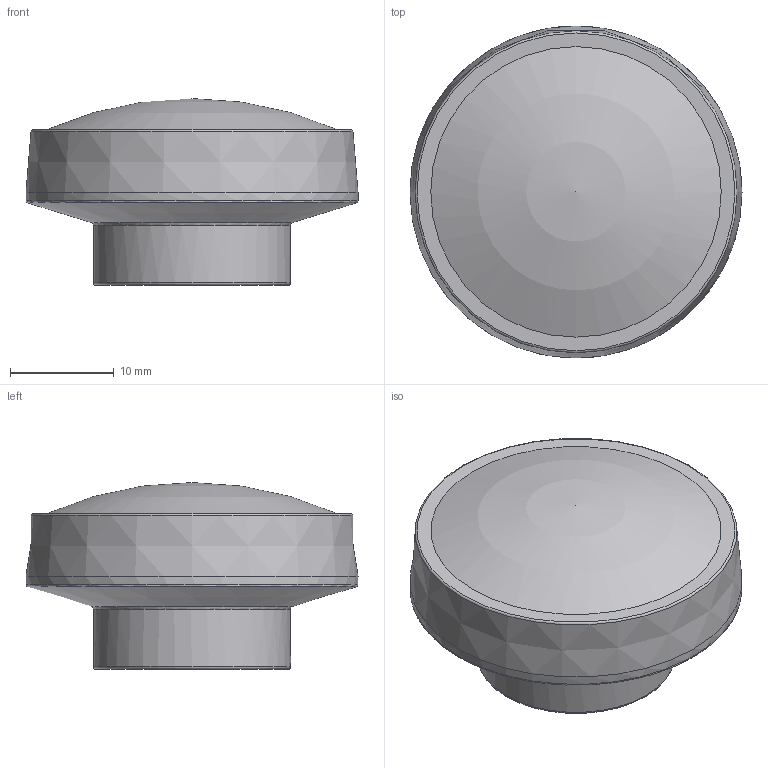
import math

import cadquery as cq

hub_diameter = 19.0
hub_height = 6.0
hub_edge_fillet = 0.25

head_diameter = 32.0
underside_rise = 2.0
rim_height = 1.0
rim_edge_fillet = 0.2
grip_height = 6.0
head_top_diameter = 31.0
head_top_fillet = 0.2

dome_diameter = 28.0
dome_height = 3.0

hub_radius = hub_diameter / 2
head_radius = head_diameter / 2
head_top_radius = head_top_diameter / 2
dome_radius = dome_diameter / 2

rim_bottom_z = hub_height + underside_rise
rim_top_z = rim_bottom_z + rim_height
head_top_z = rim_top_z + grip_height
dome_top_z = head_top_z + dome_height

sphere_radius = (dome_radius**2 + dome_height**2) / (2 * dome_height)
sphere_center_z = dome_top_z - sphere_radius
dome_mid_radius = dome_radius / 2
dome_mid_z = sphere_center_z + math.sqrt(sphere_radius**2 - dome_mid_radius**2)


def revolved_knob():
    """Revolve the half section (radius, z) about the Z axis."""
    half_section = (
        cq.Workplane("XZ")
        .moveTo(0, 0)
        .lineTo(hub_radius, 0)
        .lineTo(hub_radius, hub_height)
        .lineTo(head_radius, rim_bottom_z)
        .lineTo(head_radius, rim_top_z)
        .lineTo(head_top_radius, head_top_z)
        .lineTo(dome_radius, head_top_z)
        .threePointArc((dome_mid_radius, dome_mid_z), (0, dome_top_z))
        .close()
    )
    return half_section.revolve(360, (0, 0, 0), (0, 1, 0))


def fillet_ring(body, radius, z, fillet_radius):
    """Round the circular edge of the given radius at height z."""
    margin = 0.01
    reach = radius + margin
    edges_at_height = cq.selectors.BoxSelector(
        (-reach, -reach, z - margin),
        (reach, reach, z + margin),
        boundingbox=True,
    )
    largest_circle = cq.selectors.RadiusNthSelector(-1)
    return body.edges(edges_at_height).edges(largest_circle).fillet(fillet_radius)


result = revolved_knob()
result = fillet_ring(result, hub_radius, 0, hub_edge_fillet)
result = fillet_ring(result, hub_radius, hub_height, hub_edge_fillet)
result = fillet_ring(result, head_radius, rim_bottom_z, rim_edge_fillet)
result = fillet_ring(result, head_top_radius, head_top_z, head_top_fillet)